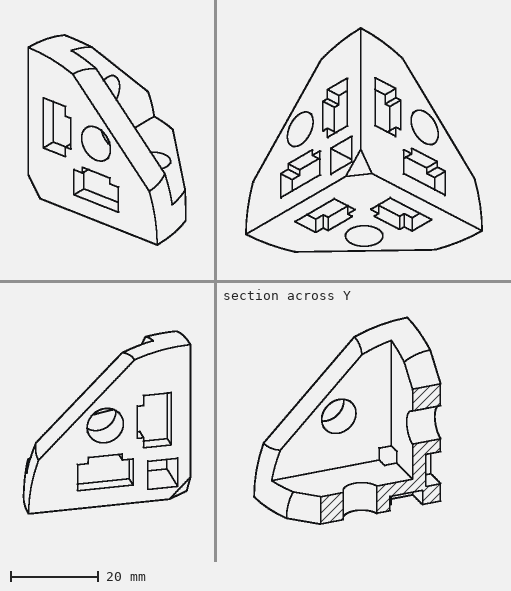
import cadquery as cq
import math

size = 38.0
wall = 7.0

bolt_diameter = 8.5
bolt_offset = 20.0

pocket_edge_gap = 4.5
pocket_length = 13.0
pocket_width = 6.5
pocket_depth = 3.6
tab_length = 8.0
tab_width = 1.5

passage_start = 3.0
passage_end = 10.0

corner_cut_x = 3.5
corner_cut_y = 5.0
corner_cut_z = 5.0

flat_distance = 34.5
flat_sum = flat_distance * math.sqrt(2)

wall_planes = [
    cq.Plane(origin=(0, 0, 0), xDir=(1, 0, 0), normal=(0, 0, 1)),
    cq.Plane(origin=(0, 0, 0), xDir=(0, 1, 0), normal=(1, 0, 0)),
    cq.Plane(origin=(0, 0, 0), xDir=(0, 0, 1), normal=(0, 1, 0)),
]


def box_between(low, high):
    """Cube whose opposite corners are (low, low, low) and (high, high, high)."""
    side = high - low
    return cq.Workplane("XY").box(side, side, side, centered=False).translate((low, low, low))


def corner_body():
    """One eighth of a ball with its inside hollowed out to leave three walls."""
    ball = cq.Workplane("XY").sphere(size)
    return ball.intersect(box_between(0, size)).cut(box_between(wall, size))


def flat_cutter(plane):
    """Triangular prism that removes the rounded far edge of one wall."""
    short_leg = flat_sum - size
    outline = [(size, short_leg), (size, size), (short_leg, size)]
    return cq.Workplane(plane).polyline(outline).close().extrude(wall)


def bolt_hole(plane):
    return cq.Workplane(plane).center(bolt_offset, bolt_offset).circle(bolt_diameter / 2).extrude(wall)


def pocket(plane, swapped):
    """Stepped pocket along the first in-plane axis, or along the second when swapped."""
    body_start = bolt_offset - pocket_length / 2
    body_end = bolt_offset + pocket_length / 2
    tab_start = bolt_offset - tab_length / 2
    tab_end = bolt_offset + tab_length / 2
    body_top = pocket_edge_gap + pocket_width
    tab_top = body_top + tab_width
    outline = [
        (body_start, pocket_edge_gap),
        (body_end, pocket_edge_gap),
        (body_end, body_top),
        (tab_end, body_top),
        (tab_end, tab_top),
        (tab_start, tab_top),
        (tab_start, body_top),
        (body_start, body_top),
    ]
    if swapped:
        outline = [(across, along) for along, across in outline]
    return cq.Workplane(plane).polyline(outline).close().extrude(pocket_depth)


def square_passage():
    """Square passage from the X = 0 face, running past the inner corner into the other two walls."""
    side = passage_end - passage_start
    bar = cq.Workplane("XY").box(passage_end, side, side, centered=False)
    return bar.translate((0, passage_start, passage_start))


def corner_cutter():
    """Tetrahedron at the outer corner."""
    corner = cq.Vector(0, 0, 0)
    on_x = cq.Vector(corner_cut_x, 0, 0)
    on_y = cq.Vector(0, corner_cut_y, 0)
    on_z = cq.Vector(0, 0, corner_cut_z)
    triangles = [
        (corner, on_y, on_x),
        (corner, on_x, on_z),
        (corner, on_z, on_y),
        (on_x, on_y, on_z),
    ]
    faces = [cq.Face.makeFromWires(cq.Wire.makePolygon(list(points), close=True)) for points in triangles]
    return cq.Workplane(cq.Solid.makeSolid(cq.Shell.makeShell(faces)))


result = corner_body()
for wall_plane in wall_planes:
    result = result.cut(flat_cutter(wall_plane))
    result = result.cut(bolt_hole(wall_plane))
    result = result.cut(pocket(wall_plane, swapped=False))
    result = result.cut(pocket(wall_plane, swapped=True))
result = result.cut(square_passage())
result = result.cut(corner_cutter())